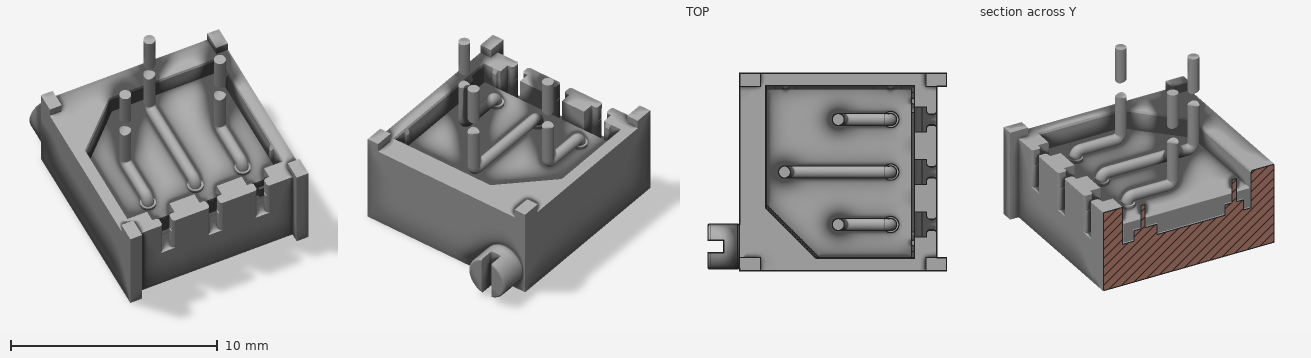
import cadquery as cq
import math


HOUSING_LENGTH = 10.0
HOUSING_WIDTH = 9.55
RIM_Z = 4.37
FOOT_LENGTH = 1.0
FOOT_WIDTH = 0.63
FOOT_HEIGHT = 0.47
END_WALL_X = 9.52

WELL_LEFT = 1.25
WELL_RIGHT = 8.44
WELL_BOTTOM = 0.59
WELL_TOP = 8.95
WELL_CORNER_SUM = 4.29
WELL_FLOOR_Z = 2.31
LEAD_IN = 0.06
BEVEL_SLOPE = math.tan(math.radians(60))

WALL_LEFT = WELL_LEFT + LEAD_IN
WALL_BOTTOM = WELL_BOTTOM + LEAD_IN
WALL_TOP = WELL_TOP - LEAD_IN
WALL_CORNER_SUM = WELL_CORNER_SUM + LEAD_IN * math.sqrt(2)

PLATE_TOP_Z = 3.35
PLATE_RIGHT = 8.31
PLATE_TOP = 8.77
PLATE_CORNER_GAP = 0.08

RIB_TIP_WIDTH = 0.21
RIB_FLARE = math.tan(math.radians(22))
PAD_TOP_Z = 2.88
RIGHT_RIB_OFFSET = 3.42
RIGHT_PAD_OFFSET = 3.37
RIGHT_PAD_WIDTH = 0.96
TOP_PADS = [(2.23, 1.04), (7.16, 1.33)]

CENTRE_Y = HOUSING_WIDTH / 2
LEAD_PITCH = 2.54
LEAD_RADIUS = 0.29
LEAD_TOP_Z = 8.94
LEAD_AXIS_Z = 3.84
BEND_RADIUS = 0.31
SOCKET_X = 7.3
OUTER_LEAD_X = SOCKET_X - LEAD_PITCH
MIDDLE_LEAD_X = 2.17
COLLAR_RADIUS = 0.39
BREAK_CENTRE_Z = 6.66
BREAK_SAG = 0.09
OUTER_BREAK_HALF = 0.4
MIDDLE_BREAK_HALF = 0.33
LEADS = [
    (OUTER_LEAD_X, CENTRE_Y - LEAD_PITCH, OUTER_BREAK_HALF),
    (MIDDLE_LEAD_X, CENTRE_Y, MIDDLE_BREAK_HALF),
    (OUTER_LEAD_X, CENTRE_Y + LEAD_PITCH, OUTER_BREAK_HALF),
]

POCKET_HALF_WIDTH = 0.6
POCKET_END_X = 9.03
LIP_END_HALF_GAP = 0.38
LIP_HALF_GAP = 0.23
LIP_FLAT_HALF_GAP = 0.28
LIP_STEP_Z = 3.5
TROUGH_END_X = 8.82
TROUGH_SAG = 0.06

SCREW_Y = 1.18
SCREW_Z = 1.27
SCREW_RADIUS = 1.1
SCREW_LENGTH = 1.53
SCREW_FILLET = 0.12
SCREW_BASE_LENGTH = 0.12
SCREW_BASE_STEP = 0.05
SLOT_WIDTH = 0.59
SLOT_DEPTH = 0.76


def box(x0, x1, y0, y1, z0, z1):
    return cq.Workplane("XY").box(x1 - x0, y1 - y0, z1 - z0, centered=False).translate((x0, y0, z0))


def cut_corner_outline(left, right, bottom, top, corner_sum):
    """Corners of a rectangle with its lower left corner cut off along x + y = corner_sum."""
    return [
        (left, corner_sum - left),
        (corner_sum - bottom, bottom),
        (right, bottom),
        (right, top),
        (left, top),
    ]


def make_shell():
    shell = box(0, END_WALL_X, 0, HOUSING_WIDTH, 0, RIM_Z)
    for y in (0, HOUSING_WIDTH - FOOT_WIDTH):
        shell = shell.union(
            box(HOUSING_LENGTH - FOOT_LENGTH, HOUSING_LENGTH, y, y + FOOT_WIDTH, 0, RIM_Z)
        )
        for x in (0, HOUSING_LENGTH - FOOT_LENGTH):
            shell = shell.union(
                box(x, x + FOOT_LENGTH, y, y + FOOT_WIDTH, RIM_Z, RIM_Z + FOOT_HEIGHT)
            )
    return shell


def make_well():
    wall = cut_corner_outline(WALL_LEFT, WELL_RIGHT, WALL_BOTTOM, WALL_TOP, WALL_CORNER_SUM)
    rim = cut_corner_outline(WELL_LEFT, WELL_RIGHT, WELL_BOTTOM, WELL_TOP, WELL_CORNER_SUM)
    bevel_depth = LEAD_IN * BEVEL_SLOPE
    shaft = cq.Workplane("XY", origin=(0, 0, WELL_FLOOR_Z)).polyline(wall).close()
    shaft = shaft.extrude(RIM_Z - WELL_FLOOR_Z)
    bevel = cq.Workplane("XY", origin=(0, 0, RIM_Z - bevel_depth)).polyline(wall).close()
    bevel = bevel.workplane(offset=bevel_depth).polyline(rim).close().loft(ruled=True)
    return shaft.union(bevel)


def make_plate():
    corner_sum = WALL_CORNER_SUM + PLATE_CORNER_GAP * math.sqrt(2)
    outline = cut_corner_outline(WALL_LEFT, PLATE_RIGHT, WALL_BOTTOM, PLATE_TOP, corner_sum)
    plate = cq.Workplane("XY", origin=(0, 0, WELL_FLOOR_Z)).polyline(outline).close()
    return plate.extrude(PLATE_TOP_Z - WELL_FLOOR_Z)


def make_rib(reach):
    """Rib at the origin pointing to -Y from a wall at y = 0, its top sloping down from the rim."""
    half_tip = RIB_TIP_WIDTH / 2
    half_root = half_tip + reach * RIB_FLARE
    section = [(-half_root, 0), (-half_tip, -reach), (half_tip, -reach), (half_root, 0)]
    rib = cq.Workplane("XY", origin=(0, 0, WELL_FLOOR_Z)).polyline(section).close()
    rib = rib.extrude(RIM_Z - WELL_FLOOR_Z)
    slope = [(0, RIM_Z), (-reach, RIM_Z), (-reach, RIM_Z - reach * BEVEL_SLOPE)]
    above = cq.Workplane("YZ").polyline(slope).close().extrude(half_root, both=True)
    return rib.cut(above)


def make_wall_supports():
    """Ribs, and pads filling the gap to the plate: two of each on the +Y and +X walls."""
    top_rib = make_rib(WELL_TOP - PLATE_TOP)
    right_rib = make_rib(WELL_RIGHT - PLATE_RIGHT).rotate((0, 0, 0), (0, 0, 1), -90)
    supports = []
    for x in (SOCKET_X - 2 * LEAD_PITCH, SOCKET_X):
        supports.append(top_rib.translate((x, WELL_TOP, 0)))
    for x, width in TOP_PADS:
        supports.append(
            box(x - width / 2, x + width / 2, PLATE_TOP, WELL_TOP, WELL_FLOOR_Z, PAD_TOP_Z)
        )
    for side in (-1, 1):
        rib_y = CENTRE_Y + side * RIGHT_RIB_OFFSET
        supports.append(right_rib.translate((WELL_RIGHT, rib_y, 0)))
        pad_start = CENTRE_Y + side * RIGHT_PAD_OFFSET - RIGHT_PAD_WIDTH / 2
        pad_end = pad_start + RIGHT_PAD_WIDTH
        supports.append(
            box(PLATE_RIGHT, WELL_RIGHT, pad_start, pad_end, WELL_FLOOR_Z, PAD_TOP_Z)
        )
    return supports


def make_lead_slot():
    """Cutter for one lead slot centred on y = 0: pocket, neck between rounded lips, and trough."""
    height = RIM_Z - WELL_FLOOR_Z
    crown_x = (POCKET_END_X + END_WALL_X) / 2
    pocket = box(
        WELL_RIGHT, POCKET_END_X, -POCKET_HALF_WIDTH, POCKET_HALF_WIDTH, WELL_FLOOR_Z, RIM_Z
    )
    neck = (
        cq.Workplane("XY", origin=(0, 0, WELL_FLOOR_Z))
        .moveTo(POCKET_END_X, LIP_END_HALF_GAP)
        .threePointArc((crown_x, LIP_HALF_GAP), (END_WALL_X, LIP_END_HALF_GAP))
        .lineTo(END_WALL_X, -LIP_END_HALF_GAP)
        .threePointArc((crown_x, -LIP_HALF_GAP), (POCKET_END_X, -LIP_END_HALF_GAP))
        .close()
        .extrude(height)
    )
    flats = box(
        POCKET_END_X, END_WALL_X, -LIP_FLAT_HALF_GAP, LIP_FLAT_HALF_GAP, LIP_STEP_Z, RIM_Z
    )
    trough = (
        cq.Workplane("XZ", origin=(0, POCKET_HALF_WIDTH, 0))
        .moveTo(WELL_RIGHT, WELL_FLOOR_Z)
        .threePointArc(
            ((WELL_RIGHT + TROUGH_END_X) / 2, WELL_FLOOR_Z - TROUGH_SAG),
            (TROUGH_END_X, WELL_FLOOR_Z),
        )
        .close()
        .extrude(2 * POCKET_HALF_WIDTH)
    )
    return pocket.union(neck).union(flats).union(trough)


def make_screw():
    base_radius = SCREW_RADIUS - SCREW_BASE_STEP
    screw = (
        cq.Workplane("YZ", origin=(-SCREW_LENGTH, SCREW_Y, SCREW_Z))
        .circle(SCREW_RADIUS)
        .extrude(SCREW_LENGTH - SCREW_BASE_LENGTH)
        .faces("<X")
        .edges()
        .fillet(SCREW_FILLET)
    )
    base = (
        cq.Workplane("YZ", origin=(-SCREW_BASE_LENGTH, SCREW_Y, SCREW_Z))
        .circle(SCREW_RADIUS)
        .workplane(offset=SCREW_BASE_LENGTH)
        .circle(base_radius)
        .loft(ruled=True)
    )
    slot = box(
        -SCREW_LENGTH,
        SLOT_DEPTH - SCREW_LENGTH,
        SCREW_Y - SLOT_WIDTH / 2,
        SCREW_Y + SLOT_WIDTH / 2,
        SCREW_Z - SCREW_RADIUS,
        SCREW_Z + SCREW_RADIUS,
    )
    return screw.union(base).cut(slot)


def make_break(x, y, half_gap):
    """Cutter for the break in a lead: both broken ends are hollow along the +X +Y diagonal."""
    crown = half_gap + BREAK_SAG
    plane = cq.Plane(origin=(x, y, BREAK_CENTRE_Z), xDir=(1, 1, 0), normal=(1, -1, 0))
    return (
        cq.Workplane(plane)
        .moveTo(-LEAD_RADIUS, -half_gap)
        .threePointArc((0, -crown), (LEAD_RADIUS, -half_gap))
        .lineTo(LEAD_RADIUS, half_gap)
        .threePointArc((0, crown), (-LEAD_RADIUS, half_gap))
        .close()
        .extrude(LEAD_RADIUS, both=True)
    )


def make_bent_lead(x, y, half_gap):
    """Lead from its collar on the plate, along -X and up to the break."""
    bend = BEND_RADIUS
    inset = bend * (1 - math.sqrt(0.5))
    path = (
        cq.Workplane("XZ", origin=(0, y, 0))
        .moveTo(SOCKET_X, PLATE_TOP_Z)
        .lineTo(SOCKET_X, LEAD_AXIS_Z - bend)
        .threePointArc((SOCKET_X - inset, LEAD_AXIS_Z - inset), (SOCKET_X - bend, LEAD_AXIS_Z))
        .lineTo(x + bend, LEAD_AXIS_Z)
        .threePointArc((x + inset, LEAD_AXIS_Z + inset), (x, LEAD_AXIS_Z + bend))
        .lineTo(x, BREAK_CENTRE_Z)
    )
    wire = cq.Workplane("XY", origin=(SOCKET_X, y, PLATE_TOP_Z)).circle(LEAD_RADIUS).sweep(path)
    collar = cq.Workplane("XY", origin=(SOCKET_X, y, PLATE_TOP_Z)).circle(COLLAR_RADIUS)
    collar = collar.extrude(LEAD_AXIS_Z - bend - PLATE_TOP_Z)
    return wire.cut(make_break(x, y, half_gap)).union(collar)


def make_lead_tip(x, y, half_gap):
    tip = cq.Workplane("XY", origin=(x, y, BREAK_CENTRE_Z)).circle(LEAD_RADIUS)
    tip = tip.extrude(LEAD_TOP_Z - BREAK_CENTRE_Z)
    return tip.cut(make_break(x, y, half_gap))


def make_trimmer():
    body = make_shell().cut(make_well())
    for _, y, _ in LEADS:
        body = body.cut(make_lead_slot().translate((0, y, 0)))
    body = body.union(make_plate()).union(make_screw())
    for support in make_wall_supports():
        body = body.union(support)
    for x, y, half_gap in LEADS:
        body = body.union(make_bent_lead(x, y, half_gap))
    return body


trimmer = make_trimmer().solids().val()
lead_tips = [make_lead_tip(x, y, half_gap).solids().val() for x, y, half_gap in LEADS]

result = cq.Compound.makeCompound([trimmer, *lead_tips])